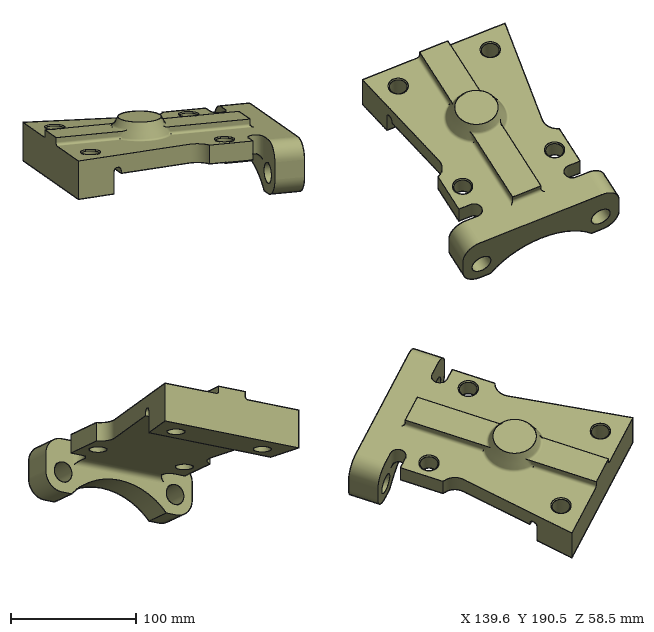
import cadquery as cq
import math

LENGTH = 190.5
LUG_BAR_WIDTH = 139.6
TOTAL_HEIGHT = 58.5

FOOT_BOTTOM = 13.0
PLATE_BOTTOM = 29.1
PLATE_TOP = 44.8
RIB_TOP = 51.2

FRONT_WIDTH = 127.6
REAR_WIDTH = 108.5
WAIST_DIAMETER = 25.3
WAIST_CENTER_X = 58.7
WAIST_CENTER_Y = 103.3

LUG_THICKNESS = 25.3
LUG_CORNER_RADIUS = 15.2
LUG_HOLE_DIAMETER = 16.8
LUG_HOLE_X = 53.3
LUG_HOLE_Z = 17.0
ARCH_RADIUS = 61.5
ARCH_TOP = 19.6
LUG_PLATE_FILLET = 5.0

SLOT_WIDTH = 13.0
SLOT_INNER_X = 37.3

FOOT_LENGTH = 32.5
RELIEF_WIDTH = 6.5
RELIEF_TOP = 34.7

BOLT_DIAMETER = 14.3
BOLT_CHAMFER = 1.0
BOLT_SPACING_X = 82.3
BOLT_SPACING_Y = 114.1

RIB_WIDTH = 25.3
BOSS_TOP_DIAMETER = 34.7
BOSS_BASE_DIAMETER = 50.0
BOSS_Y = 75.8
ROOT_FILLET = 2.5

EDGE_MARGIN = 0.2

LUG_FRONT = LENGTH - LUG_THICKNESS
WAIST_RADIUS = WAIST_DIAMETER / 2


def mirrored(half):
    """Join a half body with its mirror image across the YZ plane."""
    return half.union(half.mirror("YZ"))


def make_plate():
    """Flared plate with waist notches and side slots, thickened to a foot at the front."""
    corner_offset = FRONT_WIDTH / 2 - WAIST_CENTER_X
    corner_distance = math.hypot(corner_offset, WAIST_CENTER_Y)
    lean = math.atan2(corner_offset, WAIST_CENTER_Y) + math.asin(WAIST_RADIUS / corner_distance)
    flank_x = WAIST_CENTER_X - WAIST_RADIUS * math.cos(lean)
    flank_y = WAIST_CENTER_Y - WAIST_RADIUS * math.sin(lean)
    rear_x = REAR_WIDTH / 2
    notch_y = WAIST_CENTER_Y + math.sqrt(WAIST_RADIUS**2 - (WAIST_CENTER_X - rear_x) ** 2)
    mid_angle = math.radians(135)
    notch_mid = (
        WAIST_CENTER_X + WAIST_RADIUS * math.cos(mid_angle),
        WAIST_CENTER_Y + WAIST_RADIUS * math.sin(mid_angle),
    )
    slot_radius = SLOT_WIDTH / 2
    slot_front = LUG_FRONT - SLOT_WIDTH
    half = (
        cq.Workplane("XY", origin=(0, 0, FOOT_BOTTOM))
        .moveTo(0, 0)
        .lineTo(FRONT_WIDTH / 2, 0)
        .lineTo(flank_x, flank_y)
        .threePointArc(notch_mid, (rear_x, notch_y))
        .lineTo(rear_x, slot_front)
        .lineTo(SLOT_INNER_X + slot_radius, slot_front)
        .threePointArc(
            (SLOT_INNER_X, slot_front + slot_radius),
            (SLOT_INNER_X + slot_radius, LUG_FRONT),
        )
        .lineTo(0, LUG_FRONT)
        .close()
        .extrude(PLATE_TOP - FOOT_BOTTOM)
    )
    underside = (
        cq.Workplane("XY")
        .box(FRONT_WIDTH, LUG_FRONT - FOOT_LENGTH, PLATE_BOTTOM, centered=(True, False, False))
        .translate((0, FOOT_LENGTH, 0))
    )
    return mirrored(half).cut(underside)


def make_lug_bar():
    """Rear bar with rounded corners, an arched underside and two lug holes."""
    bar = (
        cq.Workplane("XY")
        .box(LUG_BAR_WIDTH, LUG_THICKNESS, PLATE_TOP, centered=(True, False, False))
        .translate((0, LUG_FRONT, 0))
        .edges("|Y")
        .fillet(LUG_CORNER_RADIUS)
    )
    rear_plane = cq.Workplane("XZ", origin=(0, LENGTH, 0))
    arch = rear_plane.center(0, ARCH_TOP - ARCH_RADIUS).circle(ARCH_RADIUS).extrude(LUG_THICKNESS)
    holes = (
        rear_plane.pushPoints([(-LUG_HOLE_X, LUG_HOLE_Z), (LUG_HOLE_X, LUG_HOLE_Z)])
        .circle(LUG_HOLE_DIAMETER / 2)
        .extrude(LUG_THICKNESS)
    )
    return bar.cut(arch).cut(holes)


def make_relief():
    """Round-topped groove across the plate underside, just behind the foot."""
    radius = RELIEF_WIDTH / 2
    shoulder = RELIEF_TOP - radius
    return (
        cq.Workplane("YZ", origin=(-FRONT_WIDTH / 2, 0, 0))
        .moveTo(FOOT_LENGTH, FOOT_BOTTOM)
        .lineTo(FOOT_LENGTH, shoulder)
        .threePointArc((FOOT_LENGTH + radius, RELIEF_TOP), (FOOT_LENGTH + RELIEF_WIDTH, shoulder))
        .lineTo(FOOT_LENGTH + RELIEF_WIDTH, FOOT_BOTTOM)
        .close()
        .extrude(FRONT_WIDTH)
    )


def make_rib():
    """Straight rib along the plate, from the front edge to the lug bar."""
    return (
        cq.Workplane("XY")
        .box(RIB_WIDTH, LUG_FRONT, RIB_TOP - PLATE_TOP, centered=(True, False, False))
        .translate((0, 0, PLATE_TOP))
    )


def make_boss():
    """Conical boss standing on the plate."""
    return (
        cq.Workplane("XY", origin=(0, BOSS_Y, PLATE_TOP))
        .circle(BOSS_BASE_DIAMETER / 2)
        .workplane(offset=TOTAL_HEIGHT - PLATE_TOP)
        .circle(BOSS_TOP_DIAMETER / 2)
        .loft(combine=True)
    )


def make_bolt_holes():
    """Four through holes with a small chamfer at the plate top."""
    radius = BOLT_DIAMETER / 2
    hole = (
        cq.Workplane("XZ")
        .moveTo(0, 0)
        .lineTo(radius, 0)
        .lineTo(radius, PLATE_TOP - BOLT_CHAMFER)
        .lineTo(radius + BOLT_CHAMFER, PLATE_TOP)
        .lineTo(0, PLATE_TOP)
        .close()
        .revolve(360, (0, 0, 0), (0, 1, 0))
    )
    return (
        cq.Workplane("XY", origin=(0, BOSS_Y, 0))
        .rarray(BOLT_SPACING_X, BOLT_SPACING_Y, 2, 2)
        .eachpoint(lambda place: hole.val().located(place))
    )


def edges_in_box(body, x_reach, y_range, z_range):
    """Edges whose centers lie within a box that is symmetric about the YZ plane."""
    low = (-x_reach, y_range[0], z_range[0])
    high = (x_reach, y_range[1], z_range[1])
    return body.edges(cq.selectors.BoxSelector(low, high))


def fillet_roots(body):
    """Round the rib and boss where they meet the plate and each other."""
    boss_radius = BOSS_BASE_DIAMETER / 2
    on_plate = edges_in_box(
        body,
        boss_radius,
        (EDGE_MARGIN, LUG_FRONT + EDGE_MARGIN),
        (PLATE_TOP - EDGE_MARGIN, PLATE_TOP + EDGE_MARGIN),
    )
    boss_on_rib = edges_in_box(
        body,
        RIB_WIDTH / 2 + EDGE_MARGIN,
        (BOSS_Y - boss_radius, BOSS_Y + boss_radius),
        (PLATE_TOP + EDGE_MARGIN, RIB_TOP + EDGE_MARGIN),
    )
    return on_plate.add(boss_on_rib).fillet(ROOT_FILLET)


def fillet_lug_corner(body):
    """Round the corner where the plate underside meets the lug bar."""
    corner = edges_in_box(
        body,
        EDGE_MARGIN,
        (LUG_FRONT - EDGE_MARGIN, LUG_FRONT + EDGE_MARGIN),
        (PLATE_BOTTOM - EDGE_MARGIN, PLATE_BOTTOM + EDGE_MARGIN),
    )
    return corner.fillet(LUG_PLATE_FILLET)


body = make_plate().union(make_lug_bar()).cut(make_relief())
body = fillet_lug_corner(body)
body = body.union(make_rib()).union(make_boss()).clean()
body = fillet_roots(body)
result = body.cut(make_bolt_holes())